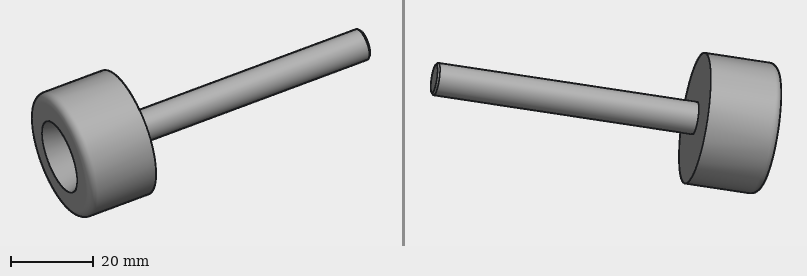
import cadquery as cq

total_length = 83.0
head_diameter = 32.0
head_length = 18.0
head_rounding = 2.0
rod_diameter = 8.0
rod_chamfer = 0.5

recess_mouth_diameter = 18.35
recess_floor_diameter = 9.9
recess_depth = 15.0
dome_diameter = 9.3


def cylinder_along_y(diameter, start, end):
    """Solid cylinder on the Y axis between two Y positions."""
    axis = cq.Vector(0, 1, 0)
    return cq.Workplane(cq.Solid.makeCylinder(diameter / 2, end - start, cq.Vector(0, start, 0), axis))


def make_head():
    """Round head with its front rim rounded over."""
    head = cylinder_along_y(head_diameter, 0, head_length)
    return head.faces("<Y").edges().fillet(head_rounding)


def make_rod():
    """Rod behind the head with a chamfered free end."""
    rod = cylinder_along_y(rod_diameter, head_length, total_length)
    return rod.faces(">Y").edges().chamfer(rod_chamfer)


def make_recess():
    """Conical cavity with a hemisphere left standing on its floor."""
    cone = cq.Workplane(
        cq.Solid.makeCone(
            recess_mouth_diameter / 2,
            recess_floor_diameter / 2,
            recess_depth,
            cq.Vector(0, 0, 0),
            cq.Vector(0, 1, 0),
        )
    )
    dome = cq.Workplane("XY").sphere(dome_diameter / 2).translate((0, recess_depth, 0))
    return cone.cut(dome)


result = make_head().cut(make_recess()).union(make_rod())